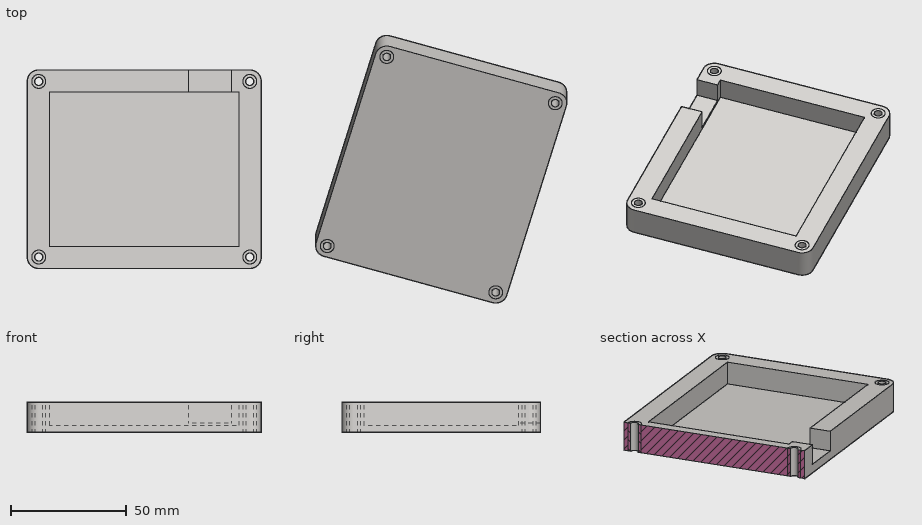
import cadquery as cq

LENGTH = 101.1
WIDTH = 85.8
HEIGHT = 13.0
CORNER_RADIUS = 5.0

WALL = 9.55
FLOOR = 3.0
CAVITY_LENGTH = LENGTH - 2 * WALL
CAVITY_WIDTH = WIDTH - 2 * WALL

NOTCH_LEFT = 19.1
NOTCH_WIDTH = 18.5
SILL_HEIGHT = 1.0
NOTCH_FLOOR = FLOOR + SILL_HEIGHT

SLEEVE_DIAMETER = 6.0
BORE_DIAMETER = 3.4
SLEEVE_X = LENGTH / 2 - CORNER_RADIUS
SLEEVE_Y = WIDTH / 2 - CORNER_RADIUS
SLEEVE_CENTERS = [(sx * SLEEVE_X, sy * SLEEVE_Y) for sx in (-1, 1) for sy in (-1, 1)]


def make_housing():
    """Rounded tray with a wall notch and a sleeve hole through each corner."""
    block = cq.Workplane("XY").rect(LENGTH, WIDTH).extrude(HEIGHT)
    block = block.edges("|Z").fillet(CORNER_RADIUS)
    cavity = (
        cq.Workplane("XY", origin=(0, 0, FLOOR))
        .rect(CAVITY_LENGTH, CAVITY_WIDTH)
        .extrude(HEIGHT - FLOOR)
    )
    notch = cq.Workplane("XY").box(
        NOTCH_WIDTH, WALL, HEIGHT - NOTCH_FLOOR, centered=False
    ).translate((NOTCH_LEFT, CAVITY_WIDTH / 2, NOTCH_FLOOR))
    sleeve_holes = (
        cq.Workplane("XY")
        .pushPoints(SLEEVE_CENTERS)
        .circle(SLEEVE_DIAMETER / 2)
        .extrude(HEIGHT)
    )
    return block.cut(cavity).cut(notch).cut(sleeve_holes)


def make_sleeve(center):
    """Plain bored sleeve, flush with the housing top and bottom."""
    return (
        cq.Workplane("XY")
        .center(*center)
        .circle(SLEEVE_DIAMETER / 2)
        .circle(BORE_DIAMETER / 2)
        .extrude(HEIGHT)
    )


housing = make_housing()
sleeves = [make_sleeve(center) for center in SLEEVE_CENTERS]

result = cq.Compound.makeCompound([housing.val(), *[sleeve.val() for sleeve in sleeves]])